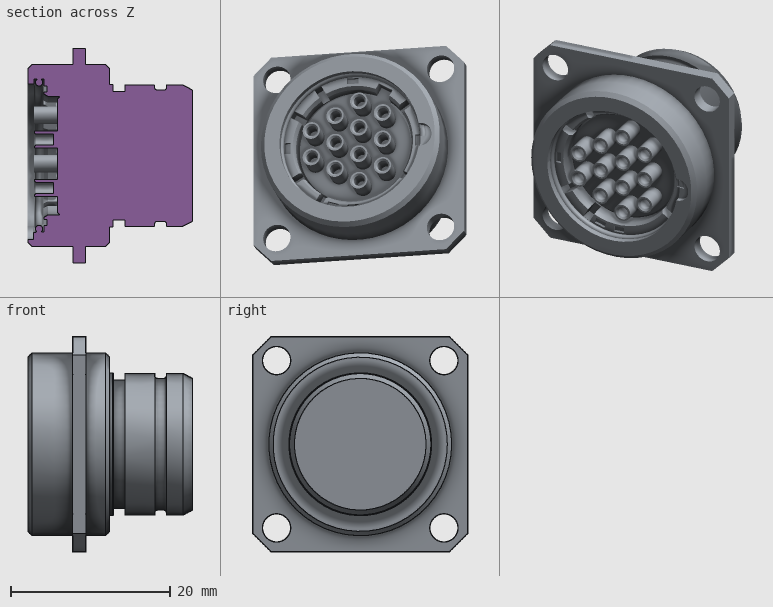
import cadquery as cq
import math

flange_side = 27.0
flange_front = 5.65
flange_back = 7.3
flange_corner = 2.3
screw_pitch = 21.0
screw_dia = 3.5

length = 20.7
front_radius = 11.48
front_chamfer = 0.55
front_body_end = 10.3
shoulder_radius = 8.96
shoulder_end = 10.75
shoulder_chamfer = 0.1
neck_radius = 8.1
neck_end = 12.18
rear_radius = 8.9
groove_start = 15.95
groove_end = 17.4
groove_radius = 8.3
groove_corner_fillet = 0.27
rear_taper_length = 1.25
rear_taper_drop = 0.65

bore_radius = 9.0
gland_start = 0.85
gland_radius = 9.58
seal_inner_radius = 8.72
seal_section_radius = 0.49
ring_face_x = 2.0
floor_x = 3.73

ring_inner_radius = 7.4
ring_lead_in_radius = 7.72
ring_lead_in_depth = 0.57
insert_radius = 7.15
insert_chamfer = ring_inner_radius - insert_radius
slot_width = 0.97
slot_angles = (35, 120, 150, 210, 240, 325)
key_width = 2.02
key_reach = 8.45
key_angle = 60
window_width = 1.43
window_height = 0.73
window_depth = 0.4
window_center_radius = 8.37
window_angles = (0, 90, 180, 252, 270)

index_radius = 1.5
index_depth = 0.68

contact_pitch = 3.5
contact_radius = 1.1
contact_tip_x = 0.78
contact_bore_radius = 0.68
contact_bore_depth = 2.43
contact_countersink = 0.22
contact_embedding = 0.27


def revolve_about_x(profile):
    """Revolve a closed (x, radius) profile about the X axis."""
    return profile.close().revolve(360, (0, 0, 0), (1, 0, 0))


def box_at_angle(width, inner, outer, x_start, x_end, angle):
    """Radial block; the angle runs from -Y towards +Z."""
    block = cq.Workplane("XY").box(x_end - x_start, outer - inner, width, centered=False)
    block = block.translate((x_start, -outer, -width / 2))
    return block.rotate((0, 0, 0), (1, 0, 0), -angle)


def cylinder_along_x(radius, x_start, x_end, y=0.0, z=0.0):
    disc = cq.Workplane("YZ", origin=(x_start, y, z)).circle(radius)
    return disc.extrude(x_end - x_start)


def make_shell():
    profile = (
        cq.Workplane("XY")
        .moveTo(0, 0)
        .lineTo(0, front_radius - front_chamfer)
        .lineTo(front_chamfer, front_radius)
        .lineTo(front_body_end - front_chamfer, front_radius)
        .lineTo(front_body_end, front_radius - front_chamfer)
        .lineTo(front_body_end, shoulder_radius)
        .lineTo(shoulder_end - shoulder_chamfer, shoulder_radius)
        .lineTo(shoulder_end, shoulder_radius - shoulder_chamfer)
        .lineTo(shoulder_end, neck_radius)
        .lineTo(neck_end, neck_radius)
        .lineTo(neck_end, rear_radius)
        .lineTo(groove_start, rear_radius)
        .lineTo(groove_start, groove_radius + groove_corner_fillet)
        .radiusArc((groove_start + groove_corner_fillet, groove_radius), -groove_corner_fillet)
        .lineTo(groove_end - groove_corner_fillet, groove_radius)
        .radiusArc((groove_end, groove_radius + groove_corner_fillet), -groove_corner_fillet)
        .lineTo(groove_end, rear_radius)
        .lineTo(length - rear_taper_length, rear_radius)
        .lineTo(length, rear_radius - rear_taper_drop)
        .lineTo(length, 0)
    )
    return revolve_about_x(profile)


def make_flange():
    plate = (
        cq.Workplane("YZ", origin=(flange_front, 0, 0))
        .rect(flange_side, flange_side)
        .extrude(flange_back - flange_front)
        .edges("|X")
        .chamfer(flange_corner)
    )
    hole_square = plate.faces("<X").workplane().rect(screw_pitch, screw_pitch, forConstruction=True)
    return hole_square.vertices().hole(screw_dia)


def make_cavity():
    """Bore and seal gland, then the lead-in and bore of the keying ring down to the floor."""
    profile = (
        cq.Workplane("XY")
        .moveTo(0, 0)
        .lineTo(0, bore_radius)
        .lineTo(gland_start, bore_radius)
        .lineTo(gland_start, gland_radius)
        .lineTo(ring_face_x, gland_radius)
        .lineTo(ring_face_x, ring_lead_in_radius)
        .lineTo(ring_face_x + ring_lead_in_depth, ring_inner_radius)
        .lineTo(floor_x, ring_inner_radius)
        .lineTo(floor_x, 0)
    )
    return revolve_about_x(profile)


def make_seal():
    """Sealing ring seated in the gland, bedded slightly into its outer wall."""
    center_x = (gland_start + ring_face_x) / 2
    center_radius = seal_inner_radius + seal_section_radius
    section = cq.Workplane("XY").center(center_x, center_radius).circle(seal_section_radius)
    axis_start = (-center_x, -center_radius, 0)
    axis_end = (0.27 - center_x, -center_radius, 0)
    return section.revolve(360, axis_start, axis_end)


def make_insert_groove():
    """Ring groove with a sloped inner flank around the insert, absent where the keyway crosses it."""
    groove = revolve_about_x(
        cq.Workplane("XY")
        .moveTo(floor_x, insert_radius)
        .lineTo(floor_x, ring_inner_radius)
        .lineTo(floor_x + insert_chamfer, ring_inner_radius)
    )
    bridge = box_at_angle(key_width, 0, key_reach, floor_x, floor_x + insert_chamfer, key_angle)
    return groove.cut(bridge)


def cut_ring_details(body):
    for angle in slot_angles:
        body = body.cut(box_at_angle(slot_width, insert_radius, bore_radius, ring_face_x, floor_x, angle))
    for angle in window_angles:
        inner = window_center_radius - window_height / 2
        outer = window_center_radius + window_height / 2
        window_end = ring_face_x + window_depth
        body = body.cut(box_at_angle(window_width, inner, outer, ring_face_x, window_end, angle))
    keyway = box_at_angle(key_width, insert_radius, key_reach, ring_face_x, floor_x, key_angle)
    return body.cut(keyway)


def cut_index_recess(body):
    recess = cylinder_along_x(index_radius, 0, index_depth, y=-bore_radius)
    opening_size = (gland_start, gland_radius - bore_radius, index_radius)
    opening = cq.Workplane("XY").box(*opening_size, centered=False).translate((0, -gland_radius, 0))
    opening = opening.intersect(cylinder_along_x(index_radius, 0, gland_start, y=-bore_radius))
    return body.cut(recess).cut(opening)


def contact_positions():
    """(y, z) of the twelve contacts: columns one lattice row apart, centred on a lattice triangle."""
    row = contact_pitch * math.sqrt(3) / 2
    contacts_per_column = (3, 4, 3, 2)
    first_offset = -4 / 3
    for column, count in enumerate(contacts_per_column):
        for i in range(count):
            yield (first_offset + column) * row, (i - (count - 1) / 2) * contact_pitch


def make_contact(y, z):
    sleeve = cylinder_along_x(contact_radius, contact_tip_x, floor_x + contact_embedding, y, z)
    bore_end = contact_tip_x + contact_bore_depth
    sleeve = sleeve.cut(cylinder_along_x(contact_bore_radius, contact_tip_x, bore_end, y, z))
    bore_rim = sleeve.edges("<X").edges(cq.selectors.RadiusNthSelector(0))
    return bore_rim.chamfer(contact_countersink)


result = make_shell().union(make_flange()).cut(make_cavity())
result = result.cut(make_insert_groove())
result = cut_ring_details(result)
result = cut_index_recess(result).union(make_seal())
for contact_y, contact_z in contact_positions():
    result = result.union(make_contact(contact_y, contact_z))